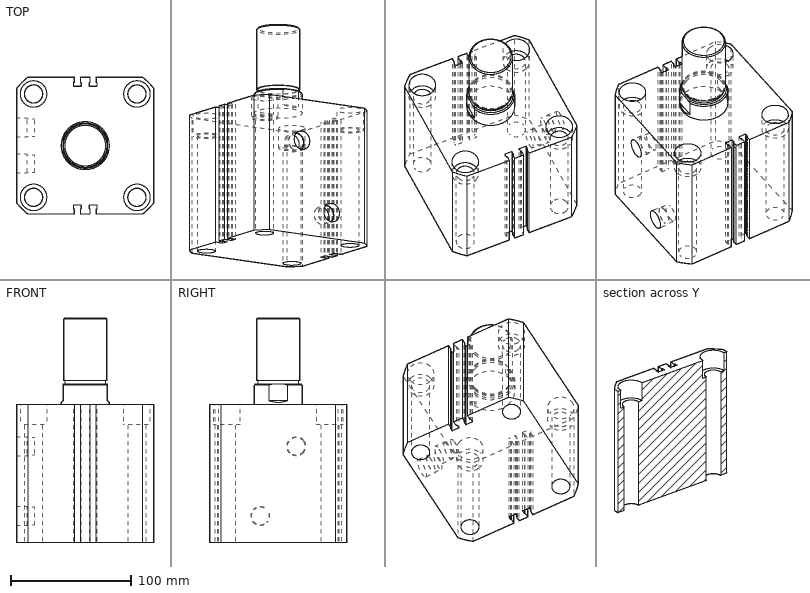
import cadquery as cq

WIDTH = 114.0
BODY_HEIGHT = 115.0
CORNER_DIAMETER = 148.9

BOLT_PITCH = 86.0
BOLT_HOLE_DIAMETER = 15.0
COUNTERBORE_DIAMETER = 22.0
COUNTERBORE_DEPTH = 16.8

SLOT_OFFSET = 6.5
SLOT_MOUTH_WIDTH = 4.9
SLOT_HEAD_WIDTH = 6.4
SLOT_MOUTH_DEPTH = 4.5
SLOT_DEPTH = 7.5

PORT_DIAMETER = 15.7
PORT_DEPTH = 8.5
PORT_CORE_DIAMETER = 14.8
PORT_CORE_DEPTH = 15.0
PORT_OFFSET = 15.0
UPPER_PORT_Z = 80.0
LOWER_PORT_Z = 22.0

TOTAL_HEIGHT = 187.0
COLLAR_DIAMETER = 40.0
COLLAR_HEIGHT = 17.0
COLLAR_CHAMFER = 1.1
NECK_DIAMETER = 34.0
NECK_HEIGHT = 3.0
THREAD_DIAMETER = 36.0
THREAD_CHAMFER = 1.1
FLAT_WIDTH = 36.8
FLAT_START = 3.2


def sensor_slot(center_x, side):
    """T-slot cutter along the full height; side is +1 or -1 for the Y side."""
    half_width = WIDTH / 2
    mouth = (
        cq.Workplane("XY")
        .center(center_x, side * (half_width - SLOT_DEPTH / 2))
        .rect(SLOT_MOUTH_WIDTH, SLOT_DEPTH)
        .extrude(BODY_HEIGHT)
    )
    head_depth = SLOT_DEPTH - SLOT_MOUTH_DEPTH
    head = (
        cq.Workplane("XY")
        .center(center_x, side * (half_width - SLOT_DEPTH + head_depth / 2))
        .rect(SLOT_HEAD_WIDTH, head_depth)
        .extrude(BODY_HEIGHT)
    )
    return mouth.union(head)


def port(center_y, center_z):
    """Stepped blind port cutter entering from the -X side."""
    mouth_plane = cq.Workplane("YZ", origin=(-WIDTH / 2, center_y, center_z))
    mouth = mouth_plane.circle(PORT_DIAMETER / 2).extrude(PORT_DEPTH)
    core = mouth_plane.circle(PORT_CORE_DIAMETER / 2).extrude(PORT_CORE_DEPTH)
    return mouth.union(core)


def make_housing():
    block = cq.Workplane("XY").rect(WIDTH, WIDTH).extrude(BODY_HEIGHT)
    turned_envelope = cq.Workplane("XY").circle(CORNER_DIAMETER / 2).extrude(BODY_HEIGHT)
    body = (
        block.intersect(turned_envelope)
        .faces(">Z")
        .workplane(origin=(0, 0, BODY_HEIGHT))
        .rect(BOLT_PITCH, BOLT_PITCH, forConstruction=True)
        .vertices()
        .cboreHole(BOLT_HOLE_DIAMETER, COUNTERBORE_DIAMETER, COUNTERBORE_DEPTH)
    )
    for side in (-1, 1):
        for center_x in (-SLOT_OFFSET, SLOT_OFFSET):
            body = body.cut(sensor_slot(center_x, side))
    body = body.cut(port(PORT_OFFSET, UPPER_PORT_Z))
    return body.cut(port(-PORT_OFFSET, LOWER_PORT_Z))


def flat_cutter():
    """Cutter for the +X wrench flat, ending in a 45 degree run-out at the bottom."""
    flat_x = FLAT_WIDTH / 2
    outer_x = COLLAR_DIAMETER / 2
    run_out = outer_x - flat_x
    bottom = BODY_HEIGHT + FLAT_START
    top = BODY_HEIGHT + COLLAR_HEIGHT
    return (
        cq.Workplane("XZ")
        .moveTo(flat_x, bottom)
        .lineTo(outer_x, bottom - run_out)
        .lineTo(outer_x, top)
        .lineTo(flat_x, top)
        .close()
        .extrude(COLLAR_DIAMETER / 2, both=True)
    )


def make_rod():
    collar_top = BODY_HEIGHT + COLLAR_HEIGHT
    neck_top = collar_top + NECK_HEIGHT
    collar = (
        cq.Workplane("XY", origin=(0, 0, BODY_HEIGHT))
        .circle(COLLAR_DIAMETER / 2)
        .extrude(COLLAR_HEIGHT)
        .faces(">Z")
        .chamfer(COLLAR_CHAMFER)
    )
    for angle in (0, 180):
        collar = collar.cut(flat_cutter().rotate((0, 0, 0), (0, 0, 1), angle))
    neck = (
        cq.Workplane("XY", origin=(0, 0, collar_top))
        .circle(NECK_DIAMETER / 2)
        .extrude(NECK_HEIGHT)
    )
    thread = (
        cq.Workplane("XY", origin=(0, 0, neck_top))
        .circle(THREAD_DIAMETER / 2)
        .extrude(TOTAL_HEIGHT - neck_top)
        .faces(">Z")
        .chamfer(THREAD_CHAMFER)
    )
    return collar.union(neck).union(thread)


housing = make_housing()
rod = make_rod()

result = cq.Compound.makeCompound([housing.val(), rod.val()])